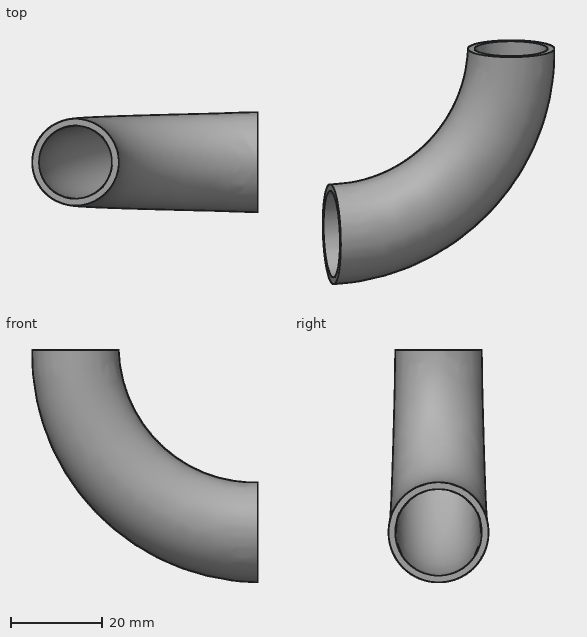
import cadquery as cq

BEND_RADIUS = 40.0
TOP_DIAMETER = 19.0
SIDE_DIAMETER = 22.0
WALL = 1.5
BEND_ANGLE = 90.0

BEND_AXIS_START = (0, 0, 0)
BEND_AXIS_END = (0, 1, 0)


def section(diameter, angle):
    """Circular wire square to the centreline, turned by angle from the upper end."""
    circle = cq.Workplane("XY", origin=(-BEND_RADIUS, 0, 0)).circle(diameter / 2).wire().val()
    return circle.rotate(BEND_AXIS_START, BEND_AXIS_END, -angle)


def tapered_bend(top_diameter, side_diameter):
    """Solid quarter bend whose round section grows steadily from end to end."""
    path = cq.Workplane("XZ").moveTo(-BEND_RADIUS, 0).radiusArc((0, -BEND_RADIUS), -BEND_RADIUS)
    ends = [section(top_diameter, 0), section(side_diameter, BEND_ANGLE)]
    return cq.Workplane("XY").newObject(ends).toPending().sweep(path, multisection=True)


outer = tapered_bend(TOP_DIAMETER, SIDE_DIAMETER)
bore = tapered_bend(TOP_DIAMETER - 2 * WALL, SIDE_DIAMETER - 2 * WALL)
result = outer.cut(bore)